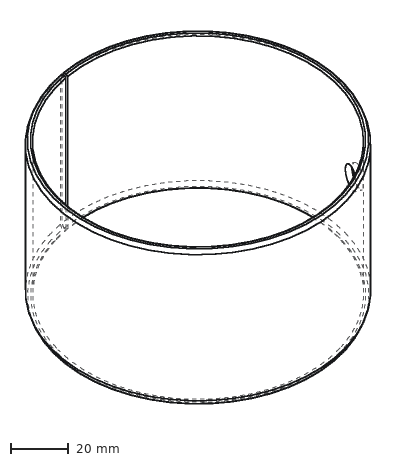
import cadquery as cq
import math

outer_diameter = 120.0
wall = 2.5
height = 70.0
outer_radius = outer_diameter / 2
inner_radius = outer_radius - wall

outer_chamfer_height = 2.0
outer_chamfer_depth = 0.7
inner_chamfer = 0.7

gap_width = 1.0

hole_diameter = 10.0
hole_angle = 59.2


def sleeve():
    """Revolve the wall section, with its four chamfered edges, around Z."""
    half_height = height / 2
    outer_edge = half_height - outer_chamfer_height
    inner_edge = half_height - inner_chamfer
    outer_rim = outer_radius - outer_chamfer_depth
    inner_rim = inner_radius + inner_chamfer
    section = [
        (inner_radius, -inner_edge),
        (inner_rim, -half_height),
        (outer_rim, -half_height),
        (outer_radius, -outer_edge),
        (outer_radius, outer_edge),
        (outer_rim, half_height),
        (inner_rim, half_height),
        (inner_radius, inner_edge),
    ]
    return cq.Workplane("XZ").polyline(section).close().revolve(360, (0, 0), (0, 1))


def gap():
    """Thin full-height box that splits the wall on the -X side."""
    block = cq.Workplane("XY").box(outer_diameter, gap_width, height)
    return block.translate((-outer_radius, gap_width / 2, 0))


def oil_hole():
    """Radial cylinder from the axis out through the wall."""
    angle = math.radians(hole_angle)
    outward = cq.Vector(math.cos(angle), math.sin(angle), 0)
    drill = cq.Solid.makeCylinder(hole_diameter / 2, outer_diameter, cq.Vector(0, 0, 0), outward)
    return cq.Workplane(obj=drill)


result = sleeve().cut(gap()).cut(oil_hole())